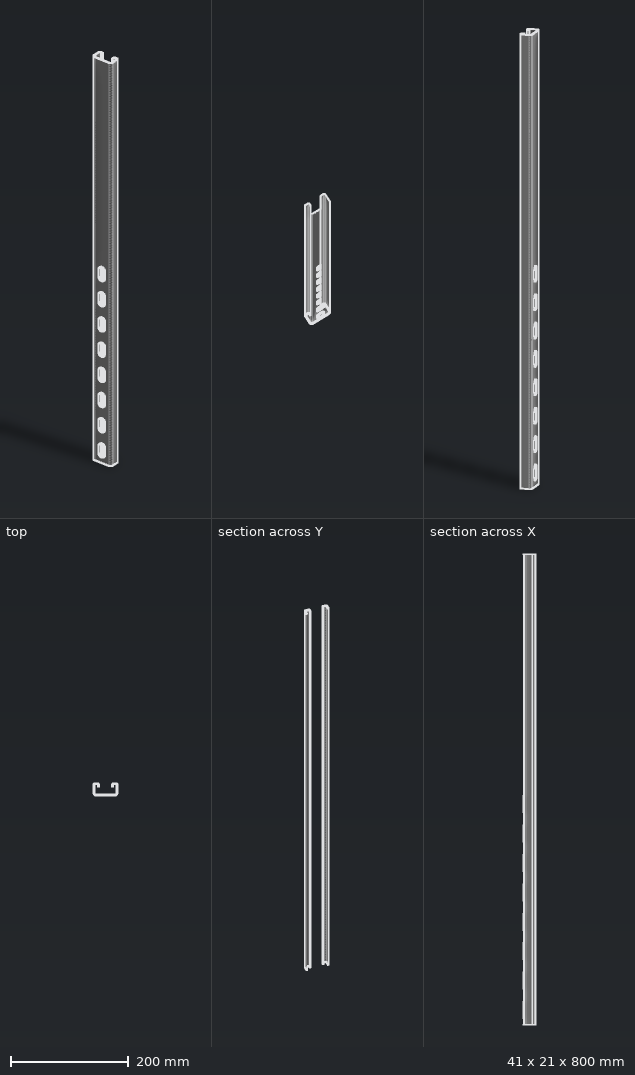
import cadquery as cq

width = 41.0
depth = 21.0
length = 800.0

thickness = 2.0
web_bend_radius = 4.5
lip_bend_radius = 2.5
opening = 22.0
lip_depth = 6.0

slot_length = 28.0
slot_width = 14.0
slot_pitch = 50.0
slot_count = 8

side_x = width / 2
side_inner_x = side_x - thickness
lip_x = opening / 2
lip_outer_x = lip_x + thickness
web_inner_y = thickness
top_inner_y = depth - thickness
lip_end_y = depth - lip_depth


def sharp_channel():
    """Channel with square bends: half the section, mirrored about the middle."""
    half = (
        cq.Workplane("XY")
        .polyline([
            (0, 0),
            (side_x, 0),
            (side_x, depth),
            (lip_x, depth),
            (lip_x, lip_end_y),
            (lip_outer_x, lip_end_y),
            (lip_outer_x, top_inner_y),
            (side_inner_x, top_inner_y),
            (side_inner_x, web_inner_y),
            (0, web_inner_y),
        ])
        .close()
        .extrude(length)
    )
    return half.union(half.mirror("YZ"))


def round_edges(body, x, y, radius):
    """Round the lengthwise edge at section corner (x, y) and its mirror image."""
    for mirrored_x in (-x, x):
        corner = cq.NearestToPointSelector((mirrored_x, y, length / 2))
        body = body.edges("|Z").edges(corner).fillet(radius)
    return body


def round_bend(body, outside_corner, inside_corner, outside_radius):
    """Round both faces of a bend about one axis, so the sheet keeps its thickness."""
    body = round_edges(body, *outside_corner, outside_radius)
    return round_edges(body, *inside_corner, outside_radius - thickness)


def slot_cutters():
    """Upright slots through the web, spaced along its middle."""
    first_center = slot_pitch / 2
    centers = [(0, first_center + index * slot_pitch) for index in range(slot_count)]
    return (
        cq.Workplane("XZ")
        .pushPoints(centers)
        .slot2D(slot_length, slot_width, 90)
        .extrude(-thickness)
    )


channel = sharp_channel()
channel = round_bend(channel, (side_x, 0), (side_inner_x, web_inner_y), web_bend_radius)
channel = round_bend(channel, (side_x, depth), (side_inner_x, top_inner_y), lip_bend_radius)
channel = round_bend(channel, (lip_x, depth), (lip_outer_x, top_inner_y), lip_bend_radius)
result = channel.cut(slot_cutters())